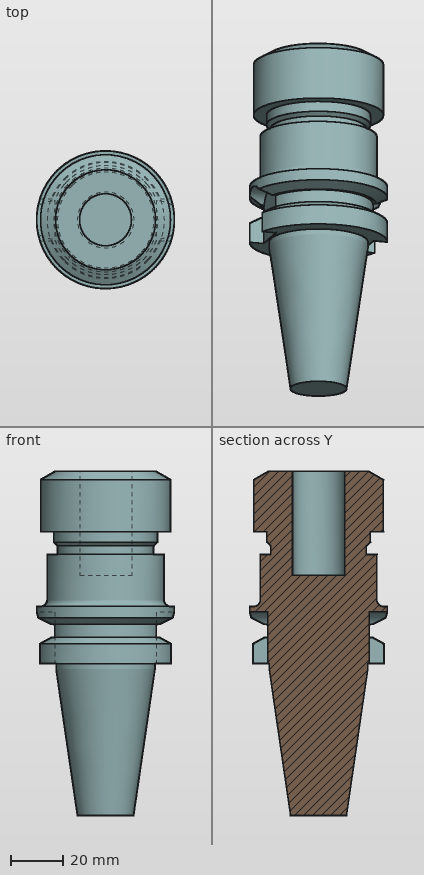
import cadquery as cq
import math


gauge_radius = 38.1 / 2
taper_length = 56.4
taper_ratio = 7 / 24
taper_end_radius = gauge_radius - taper_length * taper_ratio / 2

flange_radius = 53 / 2
flange_bottom = 2.0
flange_top = 24.0
groove_radius = 21.0
groove_wall_angle = math.radians(30)
groove_floor_bottom = 12.1
groove_floor_top = 17.1
groove_wall_height = 2.5
groove_ledge_radius = flange_radius - groove_wall_height / math.tan(groove_wall_angle)

body_radius = 45 / 2
body_fillet = 2.5
body_top = 44.0
relief_radius = 18.5
relief_top = 47.2
neck_radius = 20.0
neck_bottom = relief_top + neck_radius - relief_radius

nut_radius = 25.0
nut_bottom = 52.6
nut_top = 76.0
nut_chamfer_height = 3.33
nut_chamfer_angle = math.radians(30)
nut_face_radius = nut_radius - nut_chamfer_height / math.tan(nut_chamfer_angle)

bore_radius = 10.0
bore_depth = 40.0

slot_width = 16.1
slot_floor = 19.6
slot_top = 21.9


def turned_body():
    """Outer shape: half outline in the XZ plane revolved about Z."""
    fillet_offset = body_fillet * (1 - math.sqrt(0.5))
    outline = (
        cq.Workplane("XZ")
        .moveTo(0, -taper_length)
        .lineTo(taper_end_radius, -taper_length)
        .lineTo(gauge_radius, 0)
        .lineTo(gauge_radius, flange_bottom)
        .lineTo(flange_radius, flange_bottom)
        .lineTo(flange_radius, groove_floor_bottom - groove_wall_height)
        .lineTo(groove_ledge_radius, groove_floor_bottom)
        .lineTo(groove_radius, groove_floor_bottom)
        .lineTo(groove_radius, groove_floor_top)
        .lineTo(groove_ledge_radius, groove_floor_top)
        .lineTo(flange_radius, groove_floor_top + groove_wall_height)
        .lineTo(flange_radius, flange_top)
        .lineTo(body_radius + body_fillet, flange_top)
        .threePointArc(
            (body_radius + fillet_offset, flange_top + fillet_offset),
            (body_radius, flange_top + body_fillet),
        )
        .lineTo(body_radius, body_top)
        .lineTo(relief_radius, body_top)
        .lineTo(relief_radius, relief_top)
        .lineTo(neck_radius, neck_bottom)
        .lineTo(neck_radius, nut_bottom)
        .lineTo(nut_radius, nut_bottom)
        .lineTo(nut_radius, nut_top - nut_chamfer_height)
        .lineTo(nut_face_radius, nut_top)
        .lineTo(0, nut_top)
        .close()
    )
    return outline.revolve(360, (0, 0, 0), (0, 1, 0))


def collet_bore():
    return cq.Workplane("XY").workplane(offset=nut_top).circle(bore_radius).extrude(-bore_depth)


def drive_slot(side):
    """Round-topped cutter, open at the flange underside; side is -1 or +1 along X."""
    half_width = slot_width / 2
    arc_center = slot_top - half_width
    return (
        cq.Workplane("YZ")
        .workplane(offset=side * slot_floor)
        .moveTo(-half_width, flange_bottom)
        .lineTo(half_width, flange_bottom)
        .lineTo(half_width, arc_center)
        .threePointArc((0, slot_top), (-half_width, arc_center))
        .close()
        .extrude(side * (flange_radius - slot_floor))
    )


result = turned_body().cut(collet_bore())
for side in (-1, 1):
    result = result.cut(drive_slot(side))